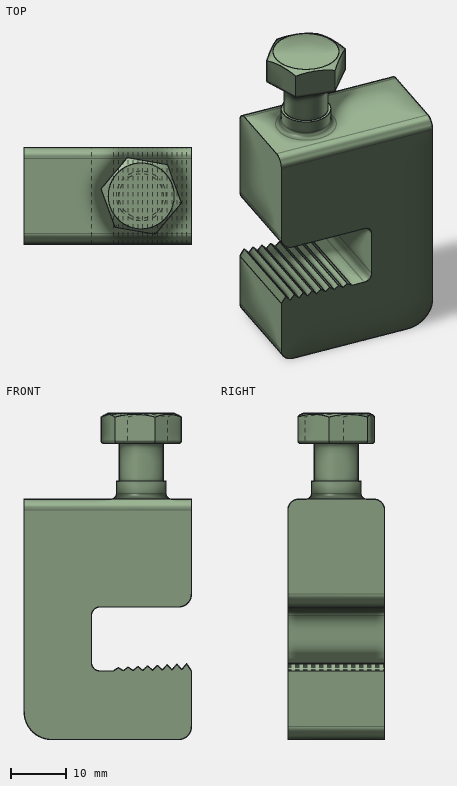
import cadquery as cq
import math

overall_height = 59.0
body_length = 30.25
body_width = 17.5
body_height = 43.5
heel_radius = 5.1
jaw_corner_radius = 2.35
top_edge_radius = 2.0

slot_back_x = 12.2
slot_floor_z = 12.45
slot_roof_z = 23.95
slot_radius = 1.5

tooth_count = 8
teeth_start_x = 16.15
tooth_pitch = (body_length - teeth_start_x) / tooth_count
first_tooth_height = 0.6
last_tooth_height = 1.3
last_valley_height = 0.25

bolt_x = 21.2
shank_radius = 4.0
collar_radius = 4.5
collar_top_z = 46.7
collar_fillet = 1.0
head_height = 5.5
head_corner_radius = 7.4
head_turn_degrees = -10.0
head_crown_radius = 5.95
head_crown_drop = 0.7
head_bottom_fillet = 0.5


def tooth_points():
    """Valley and crest points of the teeth, from the slot mouth inwards."""
    points = []
    for i in reversed(range(tooth_count)):
        crest_rise = (last_tooth_height - first_tooth_height) * i / (tooth_count - 1)
        crest_z = slot_floor_z + first_tooth_height + crest_rise
        valley_z = slot_floor_z + last_valley_height * i / (tooth_count - 1)
        valley_x = teeth_start_x + i * tooth_pitch
        points.append((valley_x + tooth_pitch / 2, crest_z))
        points.append((valley_x, valley_z))
    return points


def vertical_cylinder(radius, bottom_z, top_z):
    """Cylinder on the bolt axis."""
    return cq.Workplane("XY", origin=(bolt_x, 0, bottom_z)).circle(radius).extrude(top_z - bottom_z)


def round_edge_at(solid, x, z, radius):
    """Round the edge along Y that passes through (x, z)."""
    return solid.edges(cq.selectors.NearestToPointSelector((x, 0, z))).fillet(radius)


def make_body():
    outline = [(0, 0), (body_length, 0), (body_length, slot_floor_z)]
    outline += tooth_points()
    outline += [
        (slot_back_x, slot_floor_z),
        (slot_back_x, slot_roof_z),
        (body_length, slot_roof_z),
        (body_length, body_height),
        (0, body_height),
    ]
    body = cq.Workplane("XZ").polyline(outline).close().extrude(body_width / 2, both=True)
    rounded_corners = [
        (0, 0, heel_radius),
        (body_length, 0, jaw_corner_radius),
        (body_length, slot_roof_z, jaw_corner_radius),
        (slot_back_x, slot_floor_z, slot_radius),
        (slot_back_x, slot_roof_z, slot_radius),
    ]
    for x, z, radius in rounded_corners:
        body = round_edge_at(body, x, z, radius)
    return body.faces(">Z").edges("|X").fillet(top_edge_radius)


def make_head():
    """Hexagon head with a conical crown and rounded lower edges."""
    head = cq.Workplane("XY").polygon(6, 2 * head_corner_radius).extrude(head_height)
    head = head.faces("<Z").edges().fillet(head_bottom_fillet)
    crown_slope = head_crown_drop / (head_corner_radius - head_crown_radius)
    envelope_radius = head_crown_radius + head_height / crown_slope
    envelope = (
        cq.Workplane("XZ")
        .polyline([(0, 0), (envelope_radius, 0), (head_crown_radius, head_height), (0, head_height)])
        .close()
        .revolve(360, (0, 0), (0, 1))
    )
    head = head.intersect(envelope).rotate((0, 0, 0), (0, 0, 1), head_turn_degrees)
    return head.translate((bolt_x, 0, overall_height - head_height))


def make_collar_flare():
    """Concave fillet ring between the collar and the top of the body."""
    arc_rise = collar_fillet * (1 - math.sqrt(0.5))
    return (
        cq.Workplane("XZ", origin=(bolt_x, 0, body_height))
        .lineTo(collar_radius + collar_fillet, 0)
        .threePointArc((collar_radius + arc_rise, arc_rise), (collar_radius, collar_fillet))
        .lineTo(0, collar_fillet)
        .close()
        .revolve(360, (0, 0), (0, 1))
    )


collar = vertical_cylinder(collar_radius, body_height, collar_top_z)
shank = vertical_cylinder(shank_radius, collar_top_z, overall_height - head_height)

result = make_body().union(make_collar_flare()).union(collar).union(shank).union(make_head())